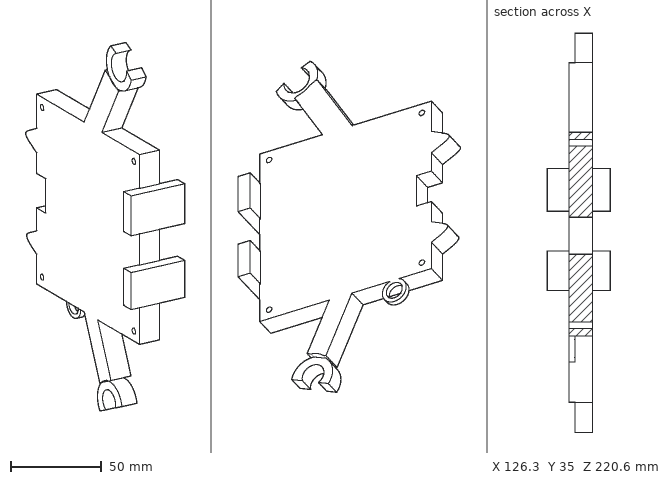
import cadquery as cq
import math

plate_width = 107.9
plate_height = 112.7
plate_thickness = 13.1

screw_hole_diameter = 3.4
screw_hole_inset = 6.0

notch_depth = 9.4
notch_bottom = 45.2
notch_top = 65.6

upper_tooth = (77.9, 92.3, 85.6, 11.25)
lower_tooth = (17.7, 31.5, 25.6, 10.2)
tooth_flank_slope = 0.5

tab_spans = ((68.9, 92.6), (25.1, 47.1))
tab_depth = 35.0
tab_front_overhang = 9.9
tab_left = 107.3
tab_right = 115.0

ring_outer_diameter = 15.0
ring_bore_diameter = 10.0
ring_thickness = 3.4
ring_x = 23.3
ring_z = -6.9

arm_root_left = 49.9
upper_arm_angle = 60.0
upper_arm_width = 16.1
upper_arm_length = 44.2
lower_arm_angle = -66.0
lower_arm_width = 13.0
lower_arm_length = 40.1

clip_depth = 9.8
upper_clip_centre = (86.4, 157.15)
upper_clip_radius = 13.25
upper_clip_bore_radius = 8.0
upper_mouth_offset = 5.6
upper_mouth_angle = 58.0
upper_mouth_half_angle = 97.0
lower_clip_centre = (76.8, -45.4)
lower_clip_radius = 13.0
lower_clip_bore_centre = (76.1, -44.6)
lower_clip_bore_radius = 6.8
lower_mouth_offset = 3.05
lower_mouth_angle = lower_arm_angle
lower_mouth_half_angle = 90.0


def extrude_back(sketch, depth):
    """Extrude a sketch on the XZ plane towards +Y."""
    return sketch.extrude(-depth)


def polar_shift(point, distance, angle):
    """Point at a distance from another, in a direction given in degrees from +X."""
    turn = math.radians(angle)
    return (point[0] + distance * math.cos(turn), point[1] + distance * math.sin(turn))


def disc(centre, radius, depth):
    return extrude_back(cq.Workplane("XZ").center(*centre).circle(radius), depth)


def polygon_prism(points, depth):
    return extrude_back(cq.Workplane("XZ").polyline(points).close(), depth)


def make_plate():
    plate = cq.Workplane("XY").box(plate_width, plate_thickness, plate_height, centered=False)
    notch = cq.Workplane("XY").box(
        notch_depth, plate_thickness, notch_top - notch_bottom, centered=False
    )
    return plate.cut(notch.translate((0, 0, notch_bottom)))


def make_tooth(root_bottom, root_top, tip_z, overhang):
    """Tooth whose nearly straight flanks flow smoothly round the tip."""
    profile = (
        cq.Workplane("XZ")
        .moveTo(0, root_bottom)
        .spline(
            [(-overhang, tip_z), (0, root_top)],
            tangents=[(-1, tooth_flank_slope), (1, tooth_flank_slope)],
            includeCurrent=True,
        )
        .close()
    )
    return extrude_back(profile, plate_thickness)


def make_tab(bottom, top):
    tab = cq.Workplane("XY").box(tab_right - tab_left, tab_depth, top - bottom, centered=False)
    return tab.translate((tab_left, -tab_front_overhang, bottom))


def make_arm(root_z, angle, width, length):
    """Square-ended bar whose root runs along the plate edge and whose left side has the given length."""
    root_width = width / math.sin(math.radians(abs(angle)))
    root_left = (arm_root_left, root_z)
    root_right = (arm_root_left + root_width, root_z)
    end_left = polar_shift(root_left, length, angle)
    end_right = polar_shift(end_left, width, angle - math.copysign(90, angle))
    return polygon_prism([root_left, end_left, end_right, root_right], plate_thickness)


def make_ring():
    ring = disc((ring_x, ring_z), ring_outer_diameter / 2, ring_thickness)
    return ring.translate((0, plate_thickness - ring_thickness, 0))


def make_frame(upper_arm, lower_arm):
    frame = make_plate()
    for tooth in (upper_tooth, lower_tooth):
        frame = frame.union(make_tooth(*tooth))
    for span in tab_spans:
        frame = frame.union(make_tab(*span))
    frame = frame.union(upper_arm).union(lower_arm).union(make_ring())
    frame = frame.cut(disc((ring_x, ring_z), ring_bore_diameter / 2, plate_thickness))
    for x in (screw_hole_inset, plate_width - screw_hole_inset):
        for z in (screw_hole_inset, plate_height - screw_hole_inset):
            frame = frame.cut(disc((x, z), screw_hole_diameter / 2, plate_thickness))
    frame = frame.cut(disc(upper_clip_centre, upper_clip_radius, plate_thickness))
    return frame.cut(disc(lower_clip_centre, lower_clip_radius, plate_thickness))


def make_clip(centre, radius, bore_centre, bore_radius, mouth_angle, mouth_offset, mouth_half_angle):
    """C shape: ring opened by a wedge-shaped mouth that faces along mouth_angle."""
    apex = polar_shift(centre, mouth_offset, mouth_angle)
    reach = 2 * radius
    mouth = [
        apex,
        polar_shift(apex, reach, mouth_angle - mouth_half_angle),
        polar_shift(apex, 2 * reach, mouth_angle),
        polar_shift(apex, reach, mouth_angle + mouth_half_angle),
    ]
    clip = disc(centre, radius, clip_depth).cut(disc(bore_centre, bore_radius, clip_depth))
    return clip.cut(polygon_prism(mouth, clip_depth))


upper_arm = make_arm(plate_height, upper_arm_angle, upper_arm_width, upper_arm_length)
lower_arm = make_arm(0, lower_arm_angle, lower_arm_width, lower_arm_length)
frame = make_frame(upper_arm, lower_arm)

upper_clip = make_clip(
    upper_clip_centre,
    upper_clip_radius,
    upper_clip_centre,
    upper_clip_bore_radius,
    upper_mouth_angle,
    upper_mouth_offset,
    upper_mouth_half_angle,
).cut(upper_arm)
lower_clip = make_clip(
    lower_clip_centre,
    lower_clip_radius,
    lower_clip_bore_centre,
    lower_clip_bore_radius,
    lower_mouth_angle,
    lower_mouth_offset,
    lower_mouth_half_angle,
).cut(lower_arm)

result = cq.Compound.makeCompound([frame.val(), upper_clip.val(), lower_clip.val()])